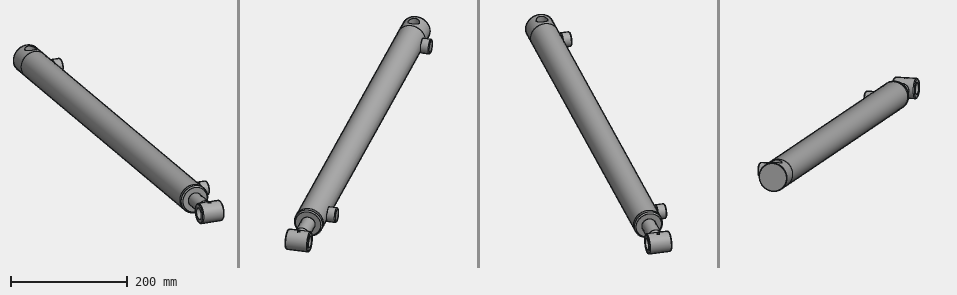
import cadquery as cq

TOTAL_LENGTH = 805.0
BARREL_DIAMETER = 50.0
BARREL_RADIUS = BARREL_DIAMETER / 2

PIN_DIAMETER = 20.0
CAP_LENGTH = 35.0
CAP_PIN_X = 18.0
CAP_CHAMFER = 1.0

BARREL_END_X = 716.5
GLAND_END_X = 724.5
GLAND_CHAMFER = 2.5

PORT_DIAMETER = 26.0
PORT_TOP_Y = 40.0
PORT_CHAMFER = 2.0
PORT_NECK_DIAMETER = 16.0
PORT_NECK_DEPTH = 4.0
PORT_CENTERS_X = (55.0, 683.0)

EYE_DIAMETER = 35.5
EYE_RADIUS = EYE_DIAMETER / 2
EYE_LENGTH = 40.0
EYE_CHAMFER = 2.0
EYE_CENTER_X = TOTAL_LENGTH - EYE_RADIUS
GREASE_HOLE_DIAMETER = 5.0

ROD_DIAMETER = 25.0
ROD_RADIUS = ROD_DIAMETER / 2
ROD_SHOULDER_X = 765.0
ROD_TIP_RADIUS = 7.0
ROD_TAPER_LENGTH = ROD_RADIUS - ROD_TIP_RADIUS


def bar_along_x(diameter, start_x, end_x):
    """Round bar on the cylinder axis."""
    return cq.Workplane("YZ").workplane(offset=start_x).circle(diameter / 2).extrude(end_x - start_x)


def bar_along_y(diameter, center_x, start_y, end_y):
    """Round bar parallel to Y at the given X, centred on Z = 0."""
    return (
        cq.Workplane("XZ", origin=(center_x, start_y, 0))
        .circle(diameter / 2)
        .extrude(start_y - end_y)
    )


def make_cap():
    """Solid base cap with a chamfered outer rim and a vertical pin hole through it."""
    pin_hole = (
        cq.Workplane("XY")
        .center(CAP_PIN_X, 0)
        .circle(PIN_DIAMETER / 2)
        .extrude(BARREL_RADIUS, both=True)
    )
    cap = bar_along_x(BARREL_DIAMETER, 0, CAP_LENGTH).faces("<X").chamfer(CAP_CHAMFER)
    return cap.cut(pin_hole)


def make_port(center_x):
    """Round port boss, held clear of the barrel flank by a narrower neck."""
    boss = bar_along_y(PORT_DIAMETER, center_x, BARREL_RADIUS, PORT_TOP_Y)
    boss = boss.faces(">Y").chamfer(PORT_CHAMFER)
    neck = bar_along_y(PORT_NECK_DIAMETER, center_x, BARREL_RADIUS - PORT_NECK_DEPTH, BARREL_RADIUS)
    return boss.union(neck)


def make_barrel(ports):
    """Barrel between cap and gland, with a seat for the neck of each port."""
    barrel = bar_along_x(BARREL_DIAMETER, CAP_LENGTH, BARREL_END_X)
    for port in ports:
        barrel = barrel.cut(port)
    return barrel


def make_gland():
    """Gland ring with a chamfered outer rim, closing the barrel around the rod."""
    ring = bar_along_x(BARREL_DIAMETER, BARREL_END_X, GLAND_END_X)
    ring = ring.faces(">X").chamfer(GLAND_CHAMFER)
    return ring.cut(bar_along_x(ROD_DIAMETER, BARREL_END_X, GLAND_END_X))


def eye_blank():
    """Outer shape of the eye, without its holes."""
    blank = bar_along_y(EYE_DIAMETER, EYE_CENTER_X, -EYE_LENGTH / 2, EYE_LENGTH / 2)
    return blank.faces("<Y or >Y").chamfer(EYE_CHAMFER)


def make_eye():
    """Rod eye with its pin hole and a grease hole from the top."""
    pin_hole = bar_along_y(PIN_DIAMETER, EYE_CENTER_X, -EYE_LENGTH / 2, EYE_LENGTH / 2)
    grease_hole = (
        cq.Workplane("XY")
        .center(EYE_CENTER_X, 0)
        .circle(GREASE_HOLE_DIAMETER / 2)
        .extrude(EYE_RADIUS)
    )
    return eye_blank().cut(pin_hole).cut(grease_hole)


def make_rod():
    """Rod through the gland, tapered to a short tip that is shaped to the eye."""
    rod = (
        cq.Workplane("XY")
        .moveTo(BARREL_END_X, 0)
        .lineTo(BARREL_END_X, ROD_RADIUS)
        .lineTo(ROD_SHOULDER_X, ROD_RADIUS)
        .lineTo(ROD_SHOULDER_X + ROD_TAPER_LENGTH, ROD_TIP_RADIUS)
        .lineTo(EYE_CENTER_X, ROD_TIP_RADIUS)
        .lineTo(EYE_CENTER_X, 0)
        .close()
        .revolve(360, (0, 0, 0), (1, 0, 0))
    )
    return rod.cut(eye_blank())


cap = make_cap()
ports = [make_port(center_x) for center_x in PORT_CENTERS_X]
barrel = make_barrel(ports)
gland = make_gland()
rod = make_rod()
eye = make_eye()

result = cq.Compound.makeCompound(
    [
        cap.val(),
        barrel.val(),
        gland.val(),
        rod.val(),
        eye.val(),
        *[port.val() for port in ports],
    ]
)